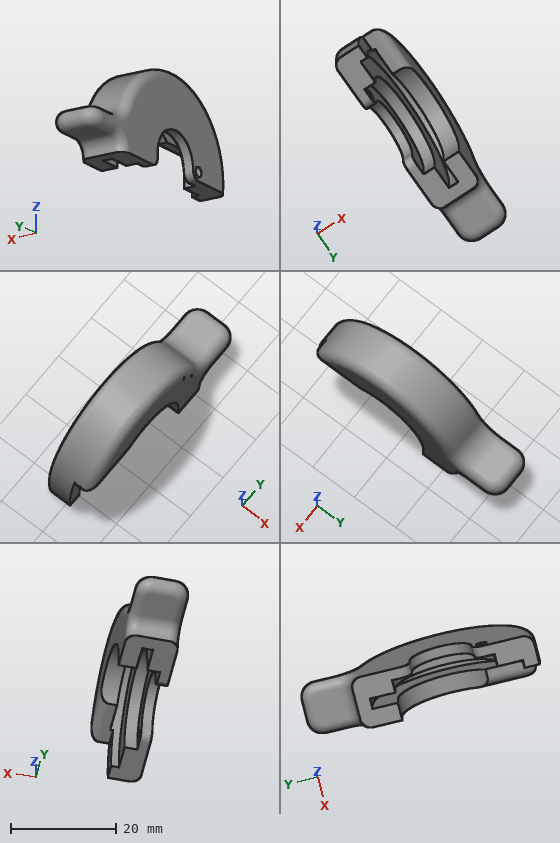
import cadquery as cq
import math

length = 45.95
width = 10.2
height = 21.0
outer_radius = 18.0
tab_end = length - outer_radius
leg_bottom = outer_radius - height

tab_thickness = 4.0
tab_corner_radius = 3.0
upper_cove_radius = 5.0
lower_cove_radius = 2.5
edge_radius = 1.98

side_wall = 2.1
groove_start = 4.6
groove_end = 6.65
bore_radius = 6.1
recess_radius = 10.0
groove_radius = 15.0
bore_steps = [
    (0, side_wall, bore_radius),
    (side_wall, groove_start, recess_radius),
    (groove_start, groove_end, groove_radius),
    (groove_end, width, recess_radius),
]

pivot_y = -8.0
pivot_diameter = 1.98
corner_radius = -pivot_y - bore_radius
lug_bottom = -corner_radius

notch_start = 6.1
notch_top = 7.0


def on_arch(y, z):
    """Project a point radially from the arch axis onto the outer arc."""
    scale = outer_radius / math.hypot(y, z)
    return (y * scale, z * scale)


def box(x_range, y_range, z_range):
    """Axis-aligned box spanning three (low, high) ranges."""
    sizes = [high - low for low, high in (x_range, y_range, z_range)]
    corner = (x_range[0], y_range[0], z_range[0])
    return cq.Workplane("XY").box(*sizes, centered=False).translate(corner)


def cove_middle(center, radius, tab_angle):
    """Middle of a cove running from the tab (at tab_angle) to the arch."""
    arch_angle = math.atan2(-center[1], -center[0])
    middle = (tab_angle + arch_angle) / 2
    return (center[0] + radius * math.cos(middle), center[1] + radius * math.sin(middle))


def make_body():
    """Arch and tab extruded along X, with rounded outer edges."""
    upper_z = tab_thickness + upper_cove_radius
    upper_y = math.sqrt((outer_radius + upper_cove_radius) ** 2 - upper_z**2)
    lower_z = -lower_cove_radius
    lower_y = math.sqrt((outer_radius + lower_cove_radius) ** 2 - lower_z**2)
    upper_tangent = on_arch(upper_y, upper_z)
    lower_tangent = on_arch(lower_y, lower_z)
    leg_y = math.sqrt(outer_radius**2 - leg_bottom**2)

    outline = cq.Workplane("YZ").moveTo(-leg_y, leg_bottom)
    outline = outline.threePointArc((0, outer_radius), upper_tangent)
    upper_middle = cove_middle((upper_y, upper_z), upper_cove_radius, -math.pi / 2)
    outline = outline.threePointArc(upper_middle, (upper_y, tab_thickness))
    outline = outline.lineTo(tab_end, tab_thickness).lineTo(tab_end, 0).lineTo(lower_y, 0)
    lower_middle = cove_middle((lower_y, lower_z), lower_cove_radius, math.pi / 2)
    outline = outline.threePointArc(lower_middle, lower_tangent)
    leg_middle = on_arch(lower_tangent[0] + leg_y, lower_tangent[1] + leg_bottom)
    outline = outline.threePointArc(leg_middle, (leg_y, leg_bottom)).close()

    body = outline.extrude(width)
    body = body.faces(">Y").edges("|Z").fillet(tab_corner_radius)
    bottom_edges = cq.selectors.BoxSelector(
        (-width, -length, leg_bottom - 0.45), (2 * width, length, leg_bottom + 0.05)
    )
    side_rims = body.faces("<X or >X").edges(cq.selectors.InverseSelector(bottom_edges))
    return side_rims.fillet(edge_radius)


def cut_bores(body):
    """Cut coaxial bores that open straight down below the arch axis."""
    for start, end, radius in bore_steps:
        cylinder = cq.Workplane("YZ", origin=(start, 0, 0)).circle(radius).extrude(end - start)
        opening = box((start, end), (-radius, radius), (leg_bottom, 0))
        body = body.cut(cylinder).cut(opening)
    return body


def cut_notch(body):
    """Clear the +X side of the lug, rounding the outer edge of the notch ceiling."""
    y_range = (-outer_radius, 0)
    round_x = width - edge_radius
    round_z = notch_top + edge_radius
    corner = box((round_x, width), y_range, (notch_top, round_z))
    cylinder = cq.Workplane("XZ").center(round_x, round_z).circle(edge_radius).extrude(outer_radius)
    notch = box((notch_start, width), y_range, (leg_bottom, notch_top))
    return body.cut(notch).cut(corner.cut(cylinder))


def round_wall_corner(body, wall_y, bottom, direction):
    """Round the bottom corner of the side wall at one side of the bore."""
    center_y = wall_y + direction * corner_radius
    y_range = sorted((wall_y, center_y))
    corner = box((0, side_wall), y_range, (bottom, bottom + corner_radius))
    round_plane = cq.Workplane("YZ").center(center_y, bottom + corner_radius)
    return body.cut(corner.cut(round_plane.circle(corner_radius).extrude(side_wall)))


body = cut_bores(make_body())
body = body.cut(box((0, width), (-outer_radius, 0), (leg_bottom, lug_bottom)))
body = cut_notch(body)
body = round_wall_corner(body, bore_radius, leg_bottom, 1)
body = round_wall_corner(body, -bore_radius, lug_bottom, -1)
pivot_hole = cq.Workplane("YZ").center(pivot_y, 0).circle(pivot_diameter / 2).extrude(notch_start)
result = body.cut(pivot_hole)